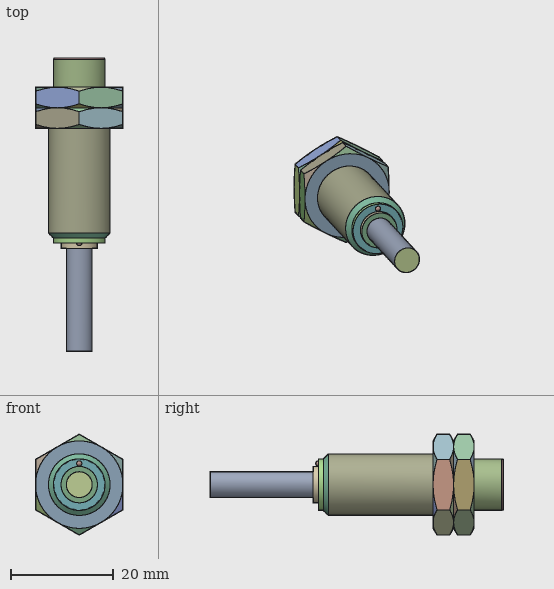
import cadquery as cq
import math

overall_length = 57.0
cable_length = 20.0
collar_length = 1.0
ring_length = 0.95
body_chamfer_length = 0.95
nut_thickness = 4.0
nut_count = 2
head_length = 5.7
head_bevel_length = 0.35
head_bevel_depth = 0.1

collar_end = cable_length + collar_length
ring_end = collar_end + ring_length
body_chamfer_end = ring_end + body_chamfer_length
head_start = overall_length - head_length
nut_start = head_start - nut_count * nut_thickness

cable_radius = 2.5
collar_radius = 3.55
head_radius = 5.0
body_radius = 6.0

nut_across_flats = 17.0
nut_chamfer_angle = 30.0
lamp_radius = 0.5
lamp_height = 4.1


def revolve_profile(points):
    """Revolve a closed (radius, Y) outline about the Y axis."""
    return cq.Workplane("XY").polyline(points).close().revolve(360, (0, 0, 0), (0, 1, 0))


def make_sensor_body():
    """Cable, collar, ring, chamfered barrel and bevelled sensing head."""
    return revolve_profile([
        (0, 0),
        (cable_radius, 0),
        (cable_radius, cable_length),
        (collar_radius, cable_length),
        (collar_radius, collar_end),
        (head_radius, collar_end),
        (head_radius, ring_end),
        (body_radius, body_chamfer_end),
        (body_radius, head_start),
        (head_radius, head_start),
        (head_radius, overall_length - head_bevel_length),
        (head_radius - head_bevel_depth, overall_length),
        (0, overall_length),
    ])


def make_nut(start):
    """Hexagon nut with corners up and down, both faces turned to a cone."""
    flat_radius = nut_across_flats / 2
    corner_radius = flat_radius / math.cos(math.radians(30))
    chamfer_length = (corner_radius - flat_radius) * math.tan(math.radians(nut_chamfer_angle))
    end = start + nut_thickness

    hexagon = (
        cq.Workplane("XZ", origin=(0, start, 0))
        .transformed(rotate=(0, 0, 90))
        .polygon(6, 2 * corner_radius)
        .extrude(-nut_thickness)
    )
    turned_envelope = revolve_profile([
        (0, start),
        (flat_radius, start),
        (corner_radius, start + chamfer_length),
        (corner_radius, end - chamfer_length),
        (flat_radius, end),
        (0, end),
    ])
    return hexagon.intersect(turned_envelope)


lamp = cq.Workplane("XY").sphere(lamp_radius).translate((0, collar_end, lamp_height))

result = make_sensor_body().union(lamp)
for nut_index in range(nut_count):
    result = result.union(make_nut(nut_start + nut_index * nut_thickness))